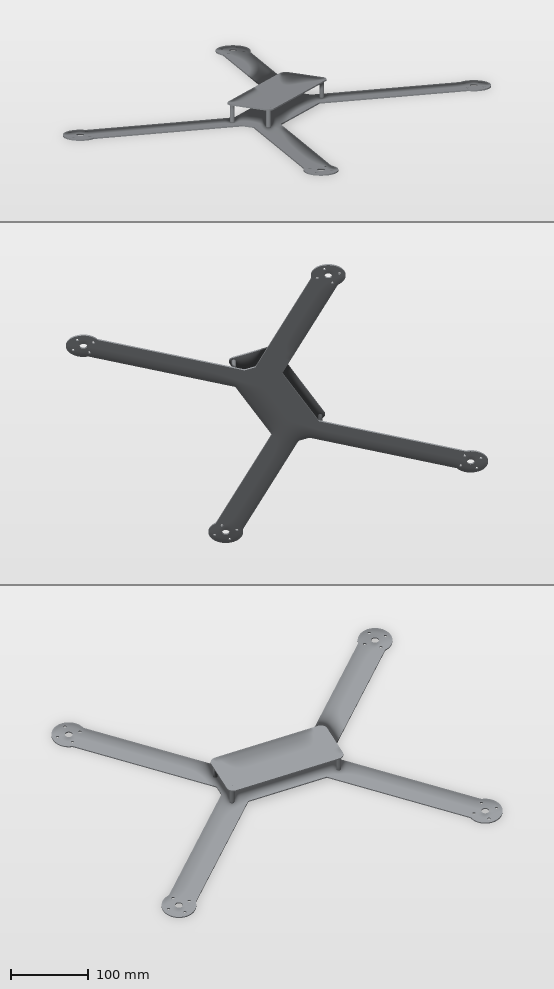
import cadquery as cq
import math

LENGTH_X = 394.0
LENGTH_Y = 477.5
HEIGHT = 27.5
SHEET = 2.0

MOUNT_RADIUS = 22.5
MOUNT_X = LENGTH_X / 2 - MOUNT_RADIUS
MOUNT_Y = LENGTH_Y / 2 - MOUNT_RADIUS
ARM_WIDTH = 37.0
ARM_ANGLE = 43.8
SHAFT_HOLE = 10.0
SCREW_HOLE = 4.0
SCREW_CIRCLE_RADIUS = 15.5
SCREW_COUNT = 4
SCREW_TURN = 5.5

DECK_X = 67.0
DECK_Y = 164.0
DECK_CORNER_RADIUS = 9.0
POST_DIAMETER = 6.0
POST_SPACING_X = 52.5
POST_SPACING_Y = 151.0

ARM_LENGTH = MOUNT_X / math.cos(math.radians(ARM_ANGLE))
ARM_END_Y = MOUNT_Y - MOUNT_X * math.tan(math.radians(ARM_ANGLE))


def post_points(plane):
    return plane.rect(POST_SPACING_X, POST_SPACING_Y, forConstruction=True).vertices()


def make_sheet(bottom):
    """Rounded rectangle shared by the frame centre and the deck."""
    sheet = cq.Workplane("XY", origin=(0, 0, bottom)).rect(DECK_X, DECK_Y).extrude(SHEET)
    return sheet.edges("|Z").fillet(DECK_CORNER_RADIUS)


def make_arm(side_x, side_y):
    """One arm with its round motor mount, in the quadrant given by the two signs."""
    mount = cq.Workplane("XY").center(side_x * MOUNT_X, side_y * MOUNT_Y).circle(MOUNT_RADIUS).extrude(SHEET)
    beam = (
        cq.Workplane("XY")
        .rect(ARM_LENGTH, ARM_WIDTH)
        .extrude(SHEET)
        .rotate((0, 0, 0), (0, 0, 1), side_x * side_y * ARM_ANGLE)
        .translate((side_x * MOUNT_X / 2, side_y * (MOUNT_Y + ARM_END_Y) / 2, 0))
    )
    return mount.union(beam)


def make_mount_holes(side_x, side_y):
    """Shaft hole and ring of screw holes, mirrored from quadrant to quadrant."""
    center = cq.Workplane("XY").center(side_x * MOUNT_X, side_y * MOUNT_Y)
    holes = center.circle(SHAFT_HOLE / 2).extrude(SHEET)
    start_angle = -side_x * side_y * SCREW_TURN
    screws = (
        center.polarArray(SCREW_CIRCLE_RADIUS, start_angle, 360, SCREW_COUNT)
        .circle(SCREW_HOLE / 2)
        .extrude(SHEET)
    )
    return holes.union(screws)


def make_frame():
    """Bottom sheet with four arms and four upright posts."""
    frame = make_sheet(0)
    quadrants = [(side_x, side_y) for side_x in (-1, 1) for side_y in (-1, 1)]
    for side_x, side_y in quadrants:
        frame = frame.union(make_arm(side_x, side_y))
    for side_x, side_y in quadrants:
        frame = frame.cut(make_mount_holes(side_x, side_y))
    posts = post_points(cq.Workplane("XY")).circle(POST_DIAMETER / 2).extrude(HEIGHT)
    return frame.union(posts)


def make_deck():
    """Rounded top sheet with a hole for each post."""
    deck = make_sheet(HEIGHT - SHEET)
    return post_points(deck.faces(">Z").workplane()).hole(POST_DIAMETER)


frame = make_frame()
deck = make_deck()
result = cq.Compound.makeCompound([frame.val(), deck.val()])